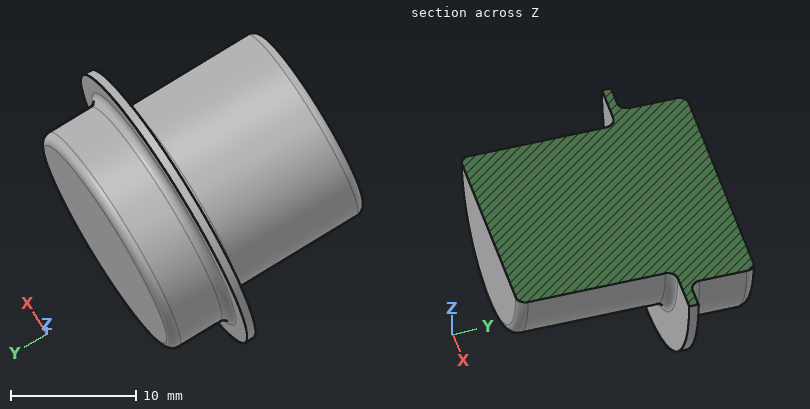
import cadquery as cq

flange_diameter = 25.0
flange_thickness = 0.8
plug_diameter = 16.9
plug_length = 13.0
head_diameter = 20.0
head_length = 5.5
fillet_radius = 0.8

flange_front = 0.0
flange_back = flange_front + flange_thickness


def disc(diameter, start, length):
    """Solid cylinder along +Y, beginning at Y = start."""
    profile = cq.Workplane("XZ", origin=(0, start, 0)).circle(diameter / 2)
    return profile.extrude(-length)


def stub_edges(body, diameter):
    """Circular edges of the given diameter: the stub's outer rim and its flange root."""
    radius = diameter / 2
    tolerance = 0.01
    circles = body.edges("%CIRCLE")
    return circles.filter(lambda edge: abs(edge.radius() - radius) < tolerance)


def build_part():
    flange = disc(flange_diameter, flange_front, flange_thickness)
    plug = disc(plug_diameter, flange_front - plug_length, plug_length)
    head = disc(head_diameter, flange_back, head_length)
    body = flange.union(plug).union(head)

    for diameter in (plug_diameter, head_diameter):
        body = stub_edges(body, diameter).fillet(fillet_radius)
    return body


result = build_part()